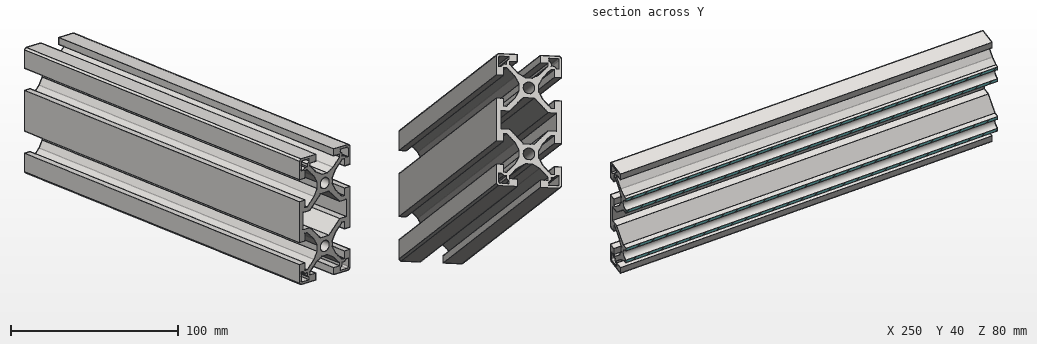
import cadquery as cq

length = 250.0
cell = 40.0
half = cell / 2
corner_chamfer = 1.2

mouth_half_width = 7.0
lip_thickness = 4.5
slot_half_width = 11.8
shoulder_height = 13.8
knee_half_width = 6.5
knee_height = 8.5
floor_half_width = 2.0
floor_height = 6.0

bore_diameter = 7.0

side_wall = 3.0
chamber_half_height = 5.5
chamber_throat_half_width = 3.2
chamber_top = half - floor_height

corner_wall = 1.5
corner_hollow_side = 6.2
corner_hollow_flat = 1.5
rib_end_setback = 1.5
corner_hollow_radius = 1.0


def prism(points):
    """Extrude a closed (y, z) outline over the full length."""
    return cq.Workplane("YZ").polyline(points).close().extrude(length)


def cell_slot():
    """T-slot of a cell centred on the origin, opening towards +Z."""
    right_side = [
        (mouth_half_width, half),
        (mouth_half_width, half - lip_thickness),
        (slot_half_width, half - lip_thickness),
        (slot_half_width, shoulder_height),
        (knee_half_width, knee_height),
        (floor_half_width, floor_height),
    ]
    left_side = [(-y, z) for y, z in reversed(right_side)]
    return prism(right_side + left_side)


def chamber():
    """Hollow between the cores, with 45 degree roofs running up to each core."""
    slope_start = chamber_throat_half_width + chamber_top - chamber_half_height
    wall = half - side_wall
    upper_right = [
        (wall, chamber_half_height),
        (slope_start, chamber_half_height),
        (chamber_throat_half_width, chamber_top),
    ]
    upper = upper_right + [(-y, z) for y, z in reversed(upper_right)]
    lower = [(-y, -z) for y, z in upper]
    return prism(upper + lower)


def corner_hollow():
    """Hollow in the +Y +Z corner of the profile."""
    outer_y = half - corner_wall
    outer_z = cell - corner_wall
    inner_y = outer_y - corner_hollow_side
    inner_z = outer_z - corner_hollow_side
    rib_y = inner_y + rib_end_setback
    rib_z = inner_z + rib_end_setback
    hollow = prism([
        (outer_y, outer_z),
        (inner_y, outer_z),
        (inner_y, outer_z - corner_hollow_flat),
        (rib_y, outer_z - corner_hollow_flat - rib_end_setback),
        (rib_y, rib_z),
        (outer_y - corner_hollow_flat - rib_end_setback, rib_z),
        (outer_y - corner_hollow_flat, inner_z),
        (outer_y, inner_z),
    ])
    outer_corner = cq.selectors.NearestToPointSelector((length / 2, outer_y, outer_z))
    return hollow.edges("|X").edges(outer_corner).fillet(corner_hollow_radius)


bar = cq.Workplane("YZ").rect(cell, 2 * cell).extrude(length)
bar = bar.edges("|X").chamfer(corner_chamfer)
bar = bar.cut(chamber())

for end_angle in (0, 180):
    outward = half if end_angle == 0 else -half
    bore = cq.Workplane("YZ").center(0, outward).circle(bore_diameter / 2).extrude(length)
    bar = bar.cut(bore)
    for slot_angle in (end_angle, 90, -90):
        slot = cell_slot().rotate((0, 0, 0), (1, 0, 0), slot_angle)
        bar = bar.cut(slot.translate((0, 0, outward)))

right_hollows = corner_hollow().union(corner_hollow().mirror("XY"))
bar = bar.cut(right_hollows).cut(right_hollows.mirror("XZ"))

result = bar.translate((-length / 2, 0, 0))